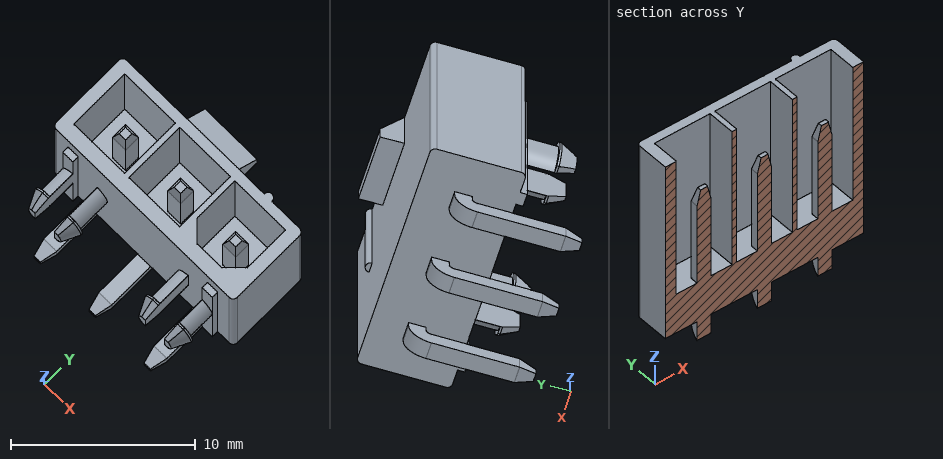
import cadquery as cq
import math


body_width = 13.8
body_depth = 5.41
overall_height = 14.05
body_height = 12.42
corner_radius = 0.31

pin_count = 3
pitch = 4.2
pin_from_back = 2.5
pin_y = body_depth - pin_from_back
pin_positions = [(i - (pin_count - 1) / 2) * pitch for i in range(pin_count)]

pocket_width = 3.86
pocket_depth = 9.6
back_wall = 0.62
pocket_length = 3.9
key_chamfer = 0.98

latch_width = 3.98
latch_reach = 1.39
latch_ramp_height = 2.12
latch_height = 3.09
latch_undercut = 0.05

key_rib_radius = 0.3
key_rib_length = 6.27

peg_z = body_height / 2
peg_radius = 1.5
peg_head_radius = 1.75
peg_tip_radius = 1.25
peg_half_height = 1.3
peg_tip_half_height = 0.75
peg_slot_width = 1.46
shank_length = 2.18
head_rim = 0.13
head_taper = 1.01
rim_end = shank_length + head_rim
peg_length = rim_end + head_taper

standoff_width = peg_radius - peg_slot_width / 2
standoff_thickness = 0.41
standoff_top_gap = 1.66
standoff_x = pin_positions[-1] + peg_radius - standoff_width / 2

pin_size = 1.0
pin_tip_size = pin_size / 2
pin_tip_length = 1.01
pin_top_gap = 3.0
pin_drop = overall_height - body_height
pin_reach = 3.9
bend_inner_radius = 0.3
bend_outer_radius = bend_inner_radius + pin_size
tip_angle = math.degrees(math.atan((pin_size - pin_tip_size) / 2 / pin_tip_length))


def make_body():
    body = cq.Workplane("XY").box(body_width, body_depth, body_height, centered=(True, False, False))
    return body.edges("|Z").fillet(corner_radius)


def make_pocket(x, keyed):
    """Rectangular contact cavity; the keyed one has its two front corners cut off."""
    pocket = cq.Workplane("XY").box(pocket_width, pocket_length, pocket_depth, centered=(True, False, False))
    if keyed:
        pocket = pocket.faces("<Y").edges("|Z").chamfer(key_chamfer)
    pocket_front = body_depth - back_wall - pocket_length
    return pocket.translate((x, pocket_front, body_height - pocket_depth))


def make_latch():
    """Ramp that rises from the top edge, with a slightly hooked underside."""
    back = body_depth
    return (
        cq.Workplane("YZ")
        .moveTo(back, body_height)
        .lineTo(back + latch_reach, body_height - latch_ramp_height)
        .lineTo(back + latch_reach, body_height - latch_height)
        .lineTo(back, body_height - latch_height + latch_undercut)
        .close()
        .extrude(latch_width / 2, both=True)
    )


def make_key_rib():
    """Round rib, half sunk in the back wall, behind the keyed pocket."""
    return (
        cq.Workplane("XY", origin=(pin_positions[-1], body_depth, body_height))
        .circle(key_rib_radius)
        .extrude(-key_rib_length)
    )


def make_standoff(x):
    height = body_height - standoff_top_gap
    return (
        cq.Workplane("XY", origin=(x, -standoff_thickness / 2, 0))
        .box(standoff_width, standoff_thickness, height, centered=(True, True, False))
    )


def make_peg(x):
    """Barbed round peg, flattened above and below, split by a vertical slot."""
    barb = (
        cq.Workplane("XY")
        .polyline([
            (0, 0),
            (peg_radius, 0),
            (peg_radius, -shank_length),
            (peg_head_radius, -shank_length),
            (peg_head_radius, -rim_end),
            (peg_tip_radius, -peg_length),
            (0, -peg_length),
        ])
        .close()
        .revolve(360, (0, 0, 0), (0, 1, 0))
    )
    flats = (
        cq.Workplane("YZ")
        .polyline([
            (0, peg_half_height),
            (-rim_end, peg_half_height),
            (-peg_length, peg_tip_half_height),
            (-peg_length, -peg_tip_half_height),
            (-rim_end, -peg_half_height),
            (0, -peg_half_height),
        ])
        .close()
        .extrude(peg_head_radius, both=True)
    )
    slot = cq.Workplane("XY").box(peg_slot_width, 2 * peg_length, 2 * peg_head_radius)
    return barb.intersect(flats).cut(slot).translate((x, 0, peg_z))


def make_pin(x):
    """Square pin bent forward below the housing, tapered on four sides at both ends."""
    back = pin_y + pin_size / 2
    front = pin_y - pin_size / 2
    bottom = -pin_drop
    leg_top = bottom + pin_size
    upper_shoulder = body_height - pin_top_gap - pin_tip_length
    leg_shoulder = pin_tip_length - pin_reach
    bend_y = front - bend_inner_radius
    bend_z = leg_top + bend_inner_radius
    diagonal = math.sqrt(0.5)
    outer_mid = (bend_y + bend_outer_radius * diagonal, bend_z - bend_outer_radius * diagonal)
    inner_mid = (bend_y + bend_inner_radius * diagonal, bend_z - bend_inner_radius * diagonal)
    shaft = (
        cq.Workplane("YZ")
        .moveTo(front, upper_shoulder)
        .lineTo(back, upper_shoulder)
        .lineTo(back, bend_z)
        .threePointArc(outer_mid, (bend_y, bottom))
        .lineTo(leg_shoulder, bottom)
        .lineTo(leg_shoulder, leg_top)
        .lineTo(bend_y, leg_top)
        .threePointArc(inner_mid, (front, bend_z))
        .close()
        .extrude(pin_size / 2, both=True)
    )
    upper_tip = (
        cq.Workplane("XY", origin=(0, pin_y, upper_shoulder))
        .rect(pin_size, pin_size)
        .extrude(pin_tip_length, taper=tip_angle)
    )
    leg_tip = (
        cq.Workplane("XZ", origin=(0, leg_shoulder, bottom + pin_size / 2))
        .rect(pin_size, pin_size)
        .extrude(pin_tip_length, taper=tip_angle)
    )
    return shaft.union(upper_tip).union(leg_tip).translate((x, 0, 0))


result = make_body().union(make_latch()).union(make_key_rib())

for x in pin_positions:
    result = result.cut(make_pocket(x, keyed=x == pin_positions[-1]))

for x in (-standoff_x, standoff_x):
    result = result.union(make_standoff(x))

for x in (pin_positions[0], pin_positions[-1]):
    result = result.union(make_peg(x))

for x in pin_positions:
    result = result.union(make_pin(x))